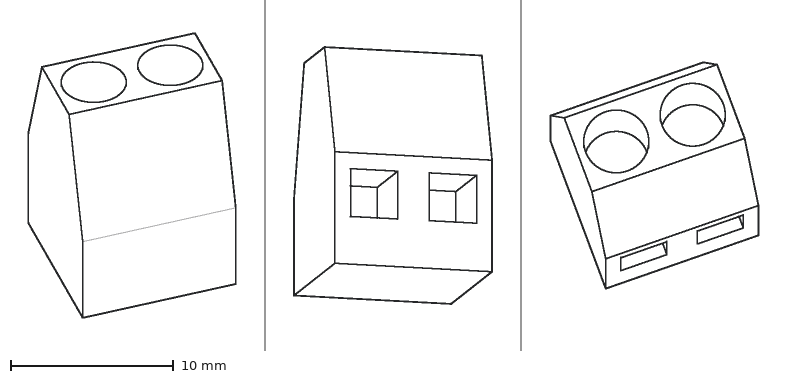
import cadquery as cq

pole_count = 2
height = 14.1
width = 10.0
length = 10.0
pitch = length / pole_count

top_width = width / 2
left_shoulder_height = 7.01
right_shoulder_height = 6.0

screw_well_diameter = 4.0
screw_well_depth = 5.0

wire_entry_size = 3.0
wire_entry_center_height = 4.5
wire_entry_depth = 5.0

pole_positions = [(i - (pole_count - 1) / 2) * pitch for i in range(pole_count)]


def make_body():
    """Extrude the asymmetric tapered profile along Y, centred on the origin in X and Y."""
    profile = [
        (-width / 2, 0),
        (width / 2, 0),
        (width / 2, right_shoulder_height),
        (top_width / 2, height),
        (-top_width / 2, height),
        (-width / 2, left_shoulder_height),
    ]
    return cq.Workplane("XZ").polyline(profile).close().extrude(length / 2, both=True)


def make_screw_well(y):
    """Round blind hole going down from the top face."""
    return (
        cq.Workplane("XY", origin=(0, y, height))
        .circle(screw_well_diameter / 2)
        .extrude(-screw_well_depth)
    )


def make_wire_entry(y):
    """Square blind pocket going in from the -X face."""
    return (
        cq.Workplane("YZ", origin=(-width / 2, y, wire_entry_center_height))
        .rect(wire_entry_size, wire_entry_size)
        .extrude(wire_entry_depth)
    )


result = make_body()
for pole_y in pole_positions:
    result = result.cut(make_screw_well(pole_y))
    result = result.cut(make_wire_entry(pole_y))